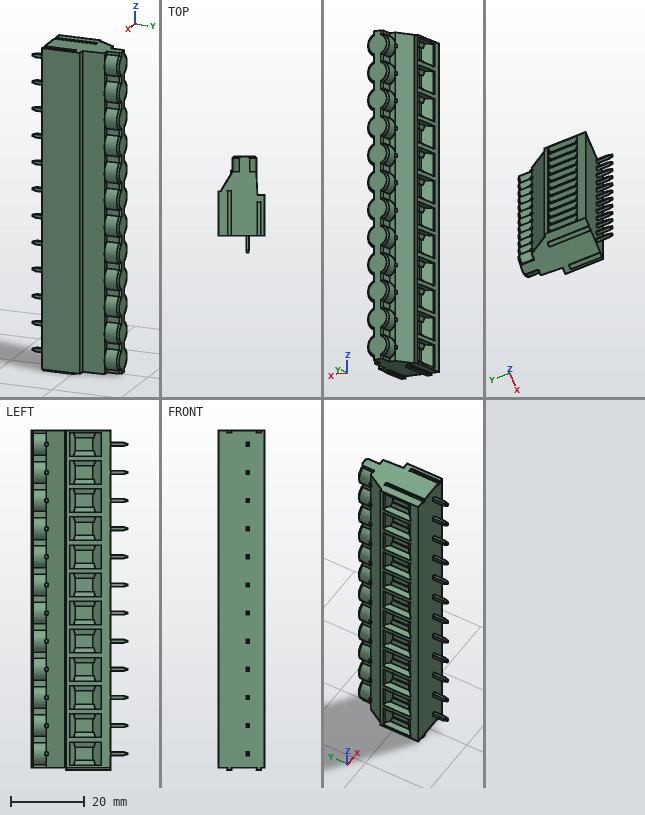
import cadquery as cq
import math

POLES = 12
PITCH = 7.62
ROW_LENGTH = POLES * PITCH
BODY_DEPTH = 12.5
BODY_HEIGHT = 21.5

FRONT_FACE_HEIGHT = 12.1
FRONT_LEDGE_DEPTH = 0.75
FRONT_RISER_HEIGHT = 0.3
BACK_STEP_HEIGHT = 11.1
BACK_STEP_X = 10.6
SHOULDER_HEIGHT = 17.4
SHOULDER_FRONT_X = 3.8
SHOULDER_BACK_X = 10.3

TOWER_DIAMETER = 6.6
TOWER_X = 7.05
BAR_WIDTH = 2.95
CROWN_CHAMFER = 0.5
MARKER_RADIUS = 0.55
MARKER_X = 3.85
MARKER_HEIGHT = 17.3

ENTRY_BOTTOM = 2.5
ENTRY_TOP = 11.05
ENTRY_LENGTH = 6.35
LOWER_LIP_DEPTH = 0.45
UPPER_LIP_DEPTH = 1.1
MOUTH_DEPTH = 2.1
THROAT_DEPTH = 2.5
THROAT_LENGTH = 3.6
ENTRY_DEPTH = 2.8

DOVETAILS = [(2.98, 12.15), (10.98, 9.15)]
DOVETAIL_ROOT_WIDTH = 0.9
DOVETAIL_TIP_WIDTH = 1.36
DOVETAIL_DEPTH = 0.61
KEY_END_CLEARANCE = 0.2

PIN_X = 7.92
PIN_WIDTH = 0.85
PIN_THICKNESS = 1.0
PIN_LENGTH = 4.6
PIN_ROOT = 1.0
PIN_TAPER_LENGTH = 1.2
PIN_TIP_WIDTH = 0.55
PIN_TIP_THICKNESS = 0.3


def box(x_range, y_range, z_range):
    """Axis-aligned box between the given limits."""
    sizes = [high - low for low, high in (x_range, y_range, z_range)]
    corner = (x_range[0], y_range[0], z_range[0])
    return cq.Workplane("XY").box(*sizes, centered=False).translate(corner)


def housing():
    outline = [
        (0, 0),
        (BODY_DEPTH, 0),
        (BODY_DEPTH, BACK_STEP_HEIGHT),
        (BACK_STEP_X, BACK_STEP_HEIGHT),
        (SHOULDER_BACK_X, SHOULDER_HEIGHT),
        (SHOULDER_FRONT_X, SHOULDER_HEIGHT),
        (FRONT_LEDGE_DEPTH, FRONT_FACE_HEIGHT + FRONT_RISER_HEIGHT),
        (FRONT_LEDGE_DEPTH, FRONT_FACE_HEIGHT),
        (0, FRONT_FACE_HEIGHT),
    ]
    return cq.Workplane("XY").polyline(outline).close().extrude(ROW_LENGTH)


def crown(pole_centres):
    """Row of screw towers joined by a bar, with the top rim chamfered along its sides."""
    half_bar = BAR_WIDTH / 2
    bar_x = (TOWER_X - half_bar, TOWER_X + half_bar)
    row = box(bar_x, (SHOULDER_HEIGHT, BODY_HEIGHT), (0, ROW_LENGTH))
    row = row.edges(">Y and |Z").chamfer(CROWN_CHAMFER)
    for z in pole_centres:
        tower = (
            cq.Workplane("XZ", origin=(TOWER_X, SHOULDER_HEIGHT, z))
            .circle(TOWER_DIAMETER / 2)
            .extrude(SHOULDER_HEIGHT - BODY_HEIGHT)
            .edges(">Y")
            .chamfer(CROWN_CHAMFER)
        )
        row = row.union(tower)
    return row


def position_marker(z):
    """Small ball at the foot of a tower, on the front edge of the shoulder."""
    ball = cq.Workplane("XZ").sphere(MARKER_RADIUS)
    return ball.rotate((0, 0, 0), (1, 0, 0), 90).translate((MARKER_X, MARKER_HEIGHT, z))


def ramp_limits(depth):
    """Lower and upper Y of the ramped entry walls at a depth behind the front face."""
    return ENTRY_BOTTOM + depth - LOWER_LIP_DEPTH, ENTRY_TOP - depth + UPPER_LIP_DEPTH


def wire_entry(z):
    """Cutter: full-length mouth with ramped walls, steep funnel, then a shallow throat."""
    mouth_bottom, mouth_top = ramp_limits(MOUTH_DEPTH)
    funnel_bottom, throat_top = ramp_limits(THROAT_DEPTH)
    floor_bottom, _ = ramp_limits(ENTRY_DEPTH)
    mouth_middle = (mouth_bottom + mouth_top) / 2
    funnel_middle = (funnel_bottom + throat_top) / 2
    mouth_outline = [
        (0, ENTRY_BOTTOM),
        (LOWER_LIP_DEPTH, ENTRY_BOTTOM),
        (MOUTH_DEPTH, mouth_bottom),
        (MOUTH_DEPTH, mouth_top),
        (UPPER_LIP_DEPTH, ENTRY_TOP),
        (0, ENTRY_TOP),
    ]
    mouth = cq.Workplane("XY").polyline(mouth_outline).close().extrude(ENTRY_LENGTH / 2, both=True)
    funnel = (
        cq.Workplane("YZ", origin=(MOUTH_DEPTH, mouth_middle, 0))
        .rect(mouth_top - mouth_bottom, ENTRY_LENGTH)
        .workplane(offset=THROAT_DEPTH - MOUTH_DEPTH)
        .center(funnel_middle - mouth_middle, 0)
        .rect(throat_top - funnel_bottom, THROAT_LENGTH)
        .loft(ruled=True)
    )
    throat_outline = [
        (MOUTH_DEPTH, mouth_bottom),
        (ENTRY_DEPTH, floor_bottom),
        (ENTRY_DEPTH, throat_top),
        (MOUTH_DEPTH, throat_top),
    ]
    throat = cq.Workplane("XY").polyline(throat_outline).close().extrude(THROAT_LENGTH / 2, both=True)
    return mouth.union(funnel).union(throat).translate((0, 0, z))


def dovetail(x, height, z):
    """Dovetail rising from the board plane, widening downward from z, with a flared upper end."""
    flare = (DOVETAIL_TIP_WIDTH - DOVETAIL_ROOT_WIDTH) / 2
    flare_angle = math.degrees(math.atan2(flare, DOVETAIL_DEPTH))
    prism = (
        cq.Workplane("XY", origin=(x, 0, z))
        .rect(DOVETAIL_ROOT_WIDTH, 2 * height)
        .extrude(-DOVETAIL_DEPTH, taper=-flare_angle)
    )
    above_board = box((0, BODY_DEPTH), (0, BODY_HEIGHT), (z - DOVETAIL_DEPTH, z))
    return prism.intersect(above_board)


def solder_pin(z):
    """Rectangular-section pin, rooted in the housing and tapered at its free end."""
    shank_length = PIN_LENGTH - PIN_TAPER_LENGTH
    shank = (
        cq.Workplane("XZ", origin=(PIN_X, PIN_ROOT, z))
        .rect(PIN_WIDTH, PIN_THICKNESS)
        .extrude(PIN_ROOT + shank_length)
    )
    tip = (
        cq.Workplane("XZ", origin=(PIN_X, -shank_length, z))
        .rect(PIN_WIDTH, PIN_THICKNESS)
        .workplane(offset=PIN_TAPER_LENGTH)
        .rect(PIN_TIP_WIDTH, PIN_TIP_THICKNESS)
        .loft(ruled=True)
    )
    return shank.union(tip)


pole_centres = [(pole + 0.5) * PITCH for pole in range(POLES)]

result = housing().union(crown(pole_centres))

for z in pole_centres:
    result = result.union(position_marker(z)).union(solder_pin(z)).cut(wire_entry(z))

for x, height in DOVETAILS:
    result = result.cut(dovetail(x, height, ROW_LENGTH))
    result = result.union(dovetail(x, height - KEY_END_CLEARANCE, 0))